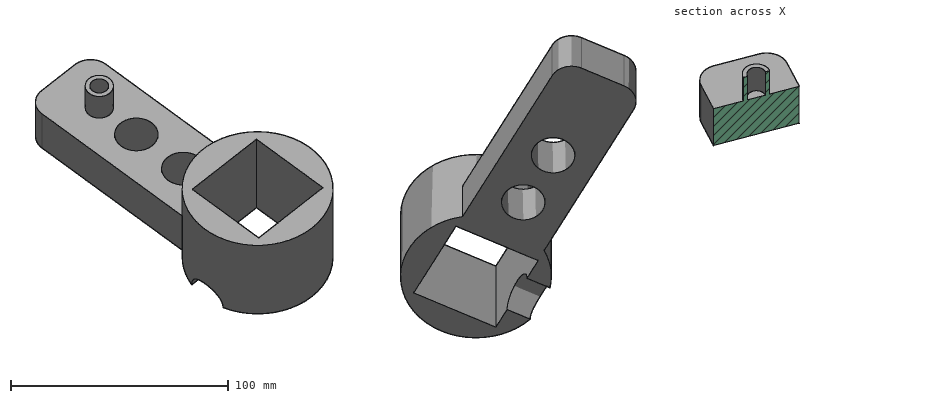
import cadquery as cq

total_length = 162.3

hub_diameter = 69.5
hub_height = 48.0
socket_side = 42.5
hub_x = total_length - hub_diameter / 2

arm_width = 42.2
arm_height = hub_height / 2
arm_corner_radius = 10.0

arm_hole_diameter = 20.0
arm_hole_positions = (50.0, 80.0)

pin_x = 26.3
pin_diameter = 13.0
pin_height = 15.1
pin_bore_diameter = 8.6
pin_bore_depth = pin_height

notch_diameter = 20.0


def make_arm():
    """Flat bar reaching the hub axis, rounded at its free end."""
    bar = cq.Workplane("XY").box(hub_x, arm_width, arm_height, centered=(False, True, False))
    return bar.edges("|Z and <X").fillet(arm_corner_radius)


def make_cylinder(x, diameter, bottom, height):
    """Upright cylinder on the part's centre line."""
    return cq.Workplane("XY", origin=(x, 0, bottom)).circle(diameter / 2).extrude(height)


hub = make_cylinder(hub_x, hub_diameter, 0, hub_height)
pin = make_cylinder(pin_x, pin_diameter, arm_height, pin_height)
body = make_arm().union(hub).union(pin)

socket = cq.Workplane("XY", origin=(hub_x, 0, 0)).rect(socket_side, socket_side).extrude(hub_height)
body = body.cut(socket)

for hole_x in arm_hole_positions:
    body = body.cut(make_cylinder(hole_x, arm_hole_diameter, 0, arm_height))

pin_top = arm_height + pin_height
body = body.cut(make_cylinder(pin_x, pin_bore_diameter, pin_top - pin_bore_depth, pin_bore_depth))

notch = (
    cq.Workplane("XZ", origin=(hub_x, 0, 0))
    .circle(notch_diameter / 2)
    .extrude(hub_diameter / 2)
)
result = body.cut(notch)